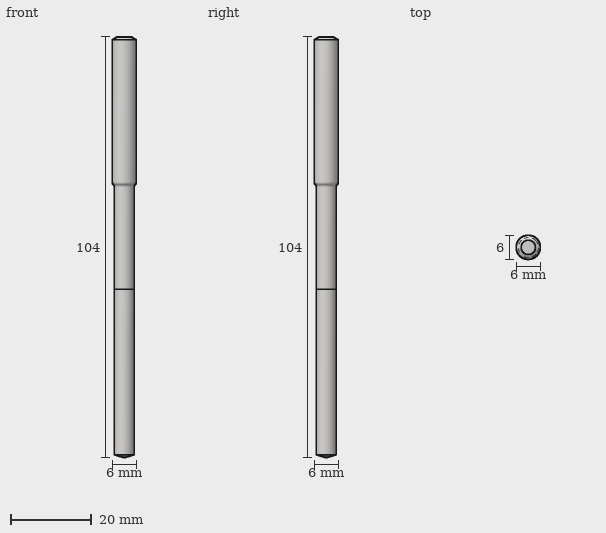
import cadquery as cq

total_length = 104.0
shank_radius = 6.0 / 2
shaft_radius = 5.0 / 2

point_height = 0.78
joint_height = 41.6
shoulder_height = 1.2
shank_bottom = 68.1

end_face_radius = 1.8
end_bevel_height = 0.78

shoulder_mid_radius = (shank_radius + shaft_radius) / 2
shoulder_bottom = shank_bottom - shoulder_height
shoulder_mid_height = shank_bottom - shoulder_height / 2


def make_shank():
    """Stepped upper body: narrow neck, S-shaped shoulder and bevelled shank."""
    profile = (
        cq.Workplane("XZ")
        .moveTo(0, joint_height)
        .lineTo(shaft_radius, joint_height)
        .lineTo(shaft_radius, shoulder_bottom)
        .tangentArcPoint((shoulder_mid_radius, shoulder_mid_height), relative=False)
        .tangentArcPoint((shank_radius, shank_bottom), relative=False)
        .lineTo(shank_radius, total_length - end_bevel_height)
        .lineTo(end_face_radius, total_length)
        .lineTo(0, total_length)
        .close()
    )
    return profile.revolve(360, (0, 0, 0), (0, 1, 0))


def make_tip():
    """Lower cylindrical body with a shallow conical point."""
    profile = (
        cq.Workplane("XZ")
        .moveTo(0, 0)
        .lineTo(shaft_radius, point_height)
        .lineTo(shaft_radius, joint_height)
        .lineTo(0, joint_height)
        .close()
    )
    return profile.revolve(360, (0, 0, 0), (0, 1, 0))


shank = make_shank()
tip = make_tip()

result = cq.Compound.makeCompound([shank.val(), tip.val()])